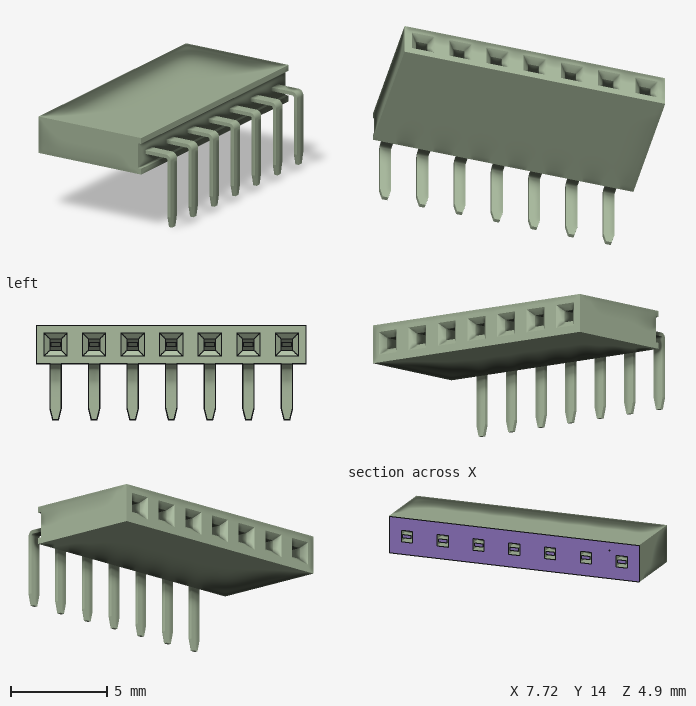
import cadquery as cq


pin_count = 7
pitch = 2.0

housing_depth = 6.35
housing_width = pin_count * pitch
housing_height = 2.0
rear_channel_depth = 0.2
rear_lip_thickness = 0.32
rear_channel_height = housing_height - 2 * rear_lip_thickness
rear_wall_x = housing_depth - rear_channel_depth

socket_size = 0.6
funnel_size = 1.2
funnel_depth = (funnel_size - socket_size) / 2
socket_depth = 4.0

pin_width = 0.6
pin_thickness = 0.2
overall_depth = 7.72
overall_height = 4.9
pin_bottom_z = housing_height / 2 - overall_height
bend_outer_radius = 0.3
bend_inner_radius = bend_outer_radius - pin_thickness
tip_width = 0.3
tip_length = 0.6

contact_width = 0.5
contact_length = 1.0


def make_housing():
    """Plain block with a channel along the whole rear face."""
    block = cq.Workplane("XY").box(
        housing_depth, housing_width, housing_height, centered=(False, True, True)
    )
    channel = (
        cq.Workplane("XY")
        .box(rear_channel_depth, housing_width, rear_channel_height, centered=(False, True, True))
        .translate((rear_wall_x, 0, 0))
    )
    return block.cut(channel)


def make_socket():
    """Square blind hole with a tapered lead-in, centred on Y = 0."""
    hole = cq.Workplane("YZ").rect(socket_size, socket_size).extrude(socket_depth)
    funnel = (
        cq.Workplane("YZ")
        .rect(funnel_size, funnel_size)
        .workplane(offset=funnel_depth)
        .rect(socket_size, socket_size)
        .loft(ruled=True)
    )
    return hole.union(funnel)


def make_bent_strip():
    """Pin of constant width, starting at the bottom of the socket and bent down at the rear."""
    top_z = pin_thickness / 2
    leg_inner_x = overall_depth - pin_thickness
    return (
        cq.Workplane("XZ")
        .moveTo(socket_depth, top_z)
        .lineTo(overall_depth - bend_outer_radius, top_z)
        .radiusArc((overall_depth, top_z - bend_outer_radius), bend_outer_radius)
        .lineTo(overall_depth, pin_bottom_z)
        .lineTo(leg_inner_x, pin_bottom_z)
        .lineTo(leg_inner_x, -top_z - bend_inner_radius)
        .radiusArc((leg_inner_x - bend_inner_radius, -top_z), -bend_inner_radius)
        .lineTo(socket_depth, -top_z)
        .close()
        .extrude(pin_width / 2, both=True)
    )


def make_tip_profile():
    """Outline across the row that narrows the lower end of the leg."""
    return (
        cq.Workplane("YZ")
        .polyline(
            [
                (-pin_width / 2, housing_height / 2),
                (pin_width / 2, housing_height / 2),
                (pin_width / 2, pin_bottom_z + tip_length),
                (tip_width / 2, pin_bottom_z),
                (-tip_width / 2, pin_bottom_z),
                (-pin_width / 2, pin_bottom_z + tip_length),
            ]
        )
        .close()
        .extrude(overall_depth)
    )


def make_pin():
    """Bent pin with a tapered tip and a narrower contact blade reaching into the socket."""
    contact = (
        cq.Workplane("XY")
        .box(contact_length, contact_width, pin_thickness, centered=(False, True, True))
        .translate((socket_depth - contact_length, 0, 0))
    )
    return make_bent_strip().intersect(make_tip_profile()).union(contact)


result = make_housing()
socket = make_socket()
pin = make_pin()
for index in range(pin_count):
    row_y = (index - (pin_count - 1) / 2) * pitch
    result = result.cut(socket.translate((0, row_y, 0)))
    result = result.union(pin.translate((0, row_y, 0)))